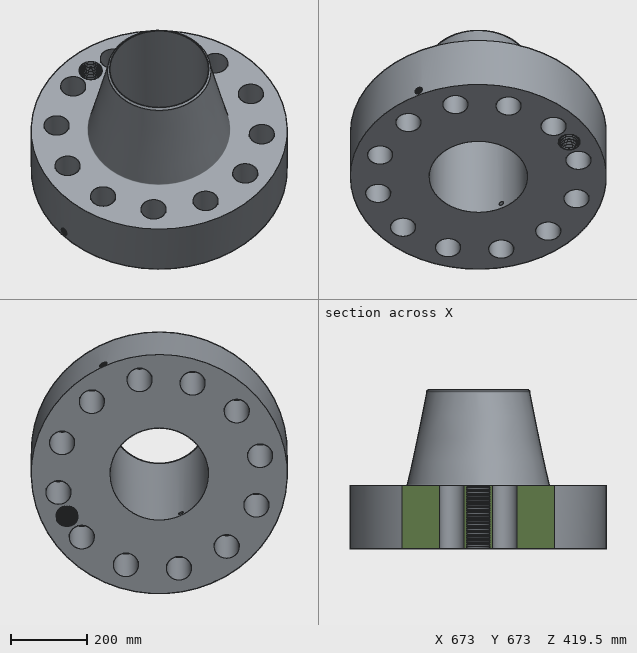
import cadquery as cq
import math

flange_diameter = 673.0
flange_thickness = 167.0
total_height = 419.5
bore_diameter = 258.5

neck_base_diameter = 374.0
neck_top_diameter = 272.0
neck_root_fillet = 2.0
weld_land_height = 5.5
weld_bevel_height = 5.0
weld_bevel_width = 5.5

bolt_circle_diameter = 540.0
bolt_count = 12
bolt_hole_diameter = 66.0

jack_major_diameter = 61.0
jack_minor_diameter = 56.5
jack_pitch = 6.0

port_height = 18.0
port_drill_diameter = 13.0
port_major_diameter = 21.5
port_minor_diameter = 17.0
port_pitch = 1.8
port_thread_length = 20.0

flange_radius = flange_diameter / 2
bolt_circle_radius = bolt_circle_diameter / 2


def make_body():
    """Revolve the flange and neck about Z, with the bore open at both ends."""
    bore_radius = bore_diameter / 2
    neck_root_radius = neck_base_diameter / 2
    neck_top_radius = neck_top_diameter / 2
    bevel_base = total_height - weld_bevel_height
    land_base = bevel_base - weld_land_height
    profile = (
        cq.Workplane("XZ")
        .moveTo(bore_radius, 0)
        .lineTo(flange_radius, 0)
        .lineTo(flange_radius, flange_thickness)
        .lineTo(neck_root_radius, flange_thickness)
        .lineTo(neck_top_radius, land_base)
        .lineTo(neck_top_radius, bevel_base)
        .lineTo(neck_top_radius - weld_bevel_width, total_height)
        .lineTo(bore_radius, total_height)
        .close()
    )
    body = profile.revolve(360, (0, 0, 0), (0, 1, 0))
    root_edge = cq.selectors.RadiusNthSelector(-2)
    return body.edges("%CIRCLE").edges(root_edge).fillet(neck_root_fillet)


def make_bolt_holes():
    """Through holes straddling the X and Y axes."""
    first_angle = 180 / bolt_count
    return (
        cq.Workplane("XY")
        .polarArray(bolt_circle_radius, first_angle, 360, bolt_count)
        .circle(bolt_hole_diameter / 2)
        .extrude(flange_thickness)
    )


def make_thread_cutter(major_diameter, minor_diameter, pitch, length):
    """Threaded hole running along -Z from the origin, its thread as a stack of V-shaped rings."""
    major_radius = major_diameter / 2
    minor_radius = minor_diameter / 2
    profile = cq.Workplane("XZ").lineTo(major_radius, 0)
    for turn in range(math.floor(length / pitch)):
        profile = profile.lineTo(minor_radius, -(turn + 0.5) * pitch)
        profile = profile.lineTo(major_radius, -(turn + 1) * pitch)
    profile = profile.lineTo(minor_radius, -length).lineTo(0, -length).close()
    return profile.revolve(360, (0, 0, 0), (0, 1, 0))


def make_jack_hole():
    cutter = make_thread_cutter(jack_major_diameter, jack_minor_diameter, jack_pitch, flange_thickness)
    return cutter.translate((-bolt_circle_radius, 0, flange_thickness))


def make_ports():
    """One radial drilling through the whole flange, with a threaded mouth at each end."""
    drilling = (
        cq.Workplane("XZ", origin=(0, 0, port_height))
        .circle(port_drill_diameter / 2)
        .extrude(flange_radius, both=True)
    )
    mouth = (
        make_thread_cutter(port_major_diameter, port_minor_diameter, port_pitch, port_thread_length)
        .rotate((0, 0, 0), (1, 0, 0), 90)
        .translate((0, -flange_radius, port_height))
    )
    return drilling.union(mouth).union(mouth.mirror("XZ"))


result = make_body().cut(make_bolt_holes()).cut(make_jack_hole()).cut(make_ports())